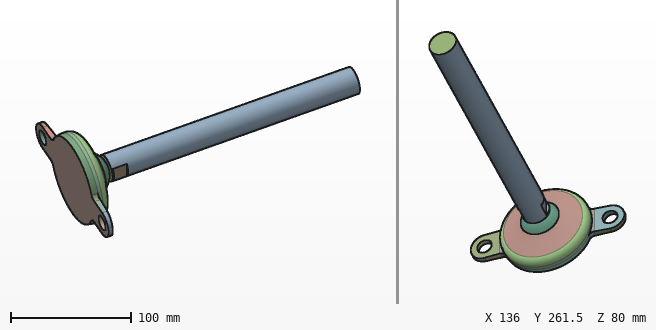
import cadquery as cq
import math


base_height = 5.5
base_bottom_radius = 39.0
base_radius = 40.0
lug_span = 136.0
lug_width = 25.0
lug_radius = lug_width / 2
lug_hole_spacing = lug_span - lug_width
lug_hole_diameter = 13.0
lug_tip_height = 4.0
lug_root_x = 42.0
lug_fillet = 5.0

rim_height = 8.6
shoulder_radius = 35.0
shoulder_height = 15.7
flank_sag = 0.45
ball_radius = 20.0
ball_center_height = 12.5
ball_edge_radius = 17.0

stem_diameter = 24.0
stem_length = 230.0
stem_start = 31.5
flat_width = 19.0
flat_length = 13.0
flat_offset = 1.5


def extrude_up(sketch, height):
    """Extrude a sketch on the XZ plane toward +Y."""
    return sketch.extrude(-height)


def revolve_about_y(profile):
    """Turn a half profile in the XY plane about the Y axis."""
    return profile.close().revolve(360, (0, 0, 0), (0, 1, 0))


def make_base():
    """Tapered disc with two drilled lugs that thin toward their tips."""
    disc = revolve_about_y(
        cq.Workplane("XY")
        .lineTo(base_bottom_radius, 0)
        .lineTo(base_radius, base_height)
        .lineTo(0, base_height)
    )
    lugs = extrude_up(cq.Workplane("XZ").slot2D(lug_span, lug_width), base_height)
    base = disc.union(lugs)

    corner_x = math.sqrt(base_radius**2 - lug_radius**2)
    corner_reach = 1.0
    in_box = cq.selectors.BoxSelector
    for side_x in (-1, 1):
        for side_z in (-1, 1):
            center = (side_x * corner_x, base_height / 2, side_z * lug_radius)
            low = [c - corner_reach for c in center]
            high = [c + corner_reach for c in center]
            base = base.edges(in_box(low, high)).fillet(lug_fillet)

    lug_tip_x = lug_span / 2
    for side_x in (-1, 1):
        wedge = (
            cq.Workplane("XY")
            .moveTo(side_x * lug_root_x, base_height)
            .lineTo(side_x * lug_tip_x, lug_tip_height)
            .lineTo(side_x * lug_tip_x, base_height)
            .close()
            .extrude(lug_radius, both=True)
        )
        base = base.cut(wedge)

    holes = extrude_up(
        cq.Workplane("XZ")
        .pushPoints([(-lug_hole_spacing / 2, 0), (lug_hole_spacing / 2, 0)])
        .circle(lug_hole_diameter / 2),
        base_height,
    )
    return base.cut(holes)


def make_bell():
    """Rim, rounded shoulder, hollow flank and ball-shaped crown."""
    inset = base_radius - shoulder_radius
    rise = shoulder_height - rim_height
    shoulder_arc_radius = (inset**2 + rise**2) / (2 * inset)
    half_angle = math.atan2(rise, shoulder_arc_radius - inset) / 2
    arc_center_radius = base_radius - shoulder_arc_radius
    shoulder_mid = (
        arc_center_radius + shoulder_arc_radius * math.cos(half_angle),
        rim_height + shoulder_arc_radius * math.sin(half_angle),
    )

    ball_edge_height = ball_center_height + math.sqrt(ball_radius**2 - ball_edge_radius**2)
    crown_angle = math.acos(ball_edge_radius / ball_radius)
    crown_mid_angle = (crown_angle + math.pi / 2) / 2
    crown_mid = (
        ball_radius * math.cos(crown_mid_angle),
        ball_center_height + ball_radius * math.sin(crown_mid_angle),
    )
    return revolve_about_y(
        cq.Workplane("XY")
        .moveTo(0, base_height)
        .lineTo(base_radius, base_height)
        .lineTo(base_radius, rim_height)
        .threePointArc(shoulder_mid, (shoulder_radius, shoulder_height))
        .sagittaArc((ball_edge_radius, ball_edge_height), flank_sag)
        .threePointArc(crown_mid, (0, ball_center_height + ball_radius))
    )


def make_stem():
    """Round rod with two wrench flats facing -X and +X near its lower end."""
    at_start = cq.Workplane("XZ", origin=(0, stem_start, 0))
    stem = extrude_up(at_start.circle(stem_diameter / 2), stem_length)

    flat_depth = (stem_diameter - flat_width) / 2
    flat_center_x = (flat_width + flat_depth) / 2
    at_flats = cq.Workplane("XZ", origin=(0, stem_start + flat_offset, 0))
    flats = extrude_up(
        at_flats.pushPoints([(-flat_center_x, 0), (flat_center_x, 0)]).rect(flat_depth, stem_diameter),
        flat_length,
    )
    return stem.cut(flats)


result = make_base().union(make_bell()).union(make_stem())